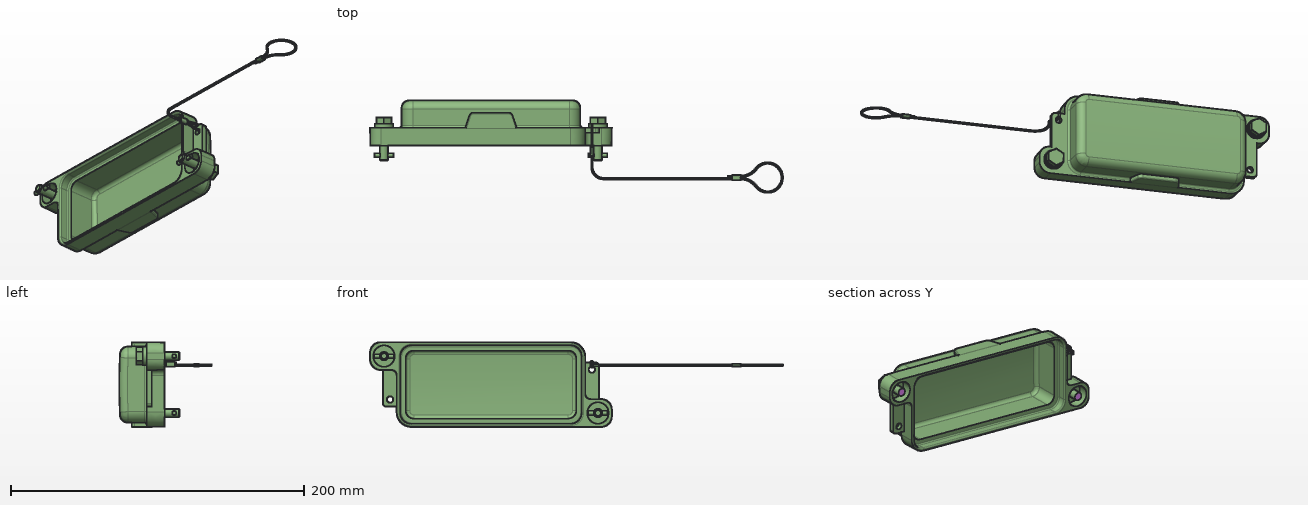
import cadquery as cq
import math


OVERLAP = 1.0

FLANGE_HALF_X = 64.4
FLANGE_HALF_Z = 57.99 / 2
FLANGE_DEPTH = 12.2
FLANGE_CORNER_R = 10.3
FLANGE_DRAFT = 1.0

LUG_END_X = 82.5
LUG_HEIGHT = 19.2
LUG_CORNER_R = 7.4
LUG_INNER_R = 3.5
LUG_CENTER_X = LUG_END_X - LUG_HEIGHT / 2
LUG_CENTER_Z = FLANGE_HALF_Z - LUG_HEIGHT / 2
LUG_RECESS_R = 7.3
LUG_RECESS_DEPTH = 8.0

HOOD_HALF_X = 61.0
HOOD_HALF_Z = 26.0
HOOD_CORNER_R = 7.7
HOOD_CROWN_Y = 31.0
CROWN_DROP = 0.9
HOOD_BACK_R = 5.5
HOOD_FOOT_R = 1.6

WALL = 2.8
POCKET_HALF_X = HOOD_HALF_X - WALL
POCKET_HALF_Z = HOOD_HALF_Z - WALL
POCKET_CORNER_R = 5.7
POCKET_FLOOR_R = 2.7
STEP_HALF_X = 61.8
STEP_HALF_Z = 26.7
STEP_DEPTH = 6.8
STEP_CORNER_R = 7.5
STEP_INNER_R = 0.8
RIM_R = 1.0

GRIP_BASE_HALF_X = 17.5
GRIP_TOP_HALF_X = 14.0
GRIP_TOP_Y = 22.5
GRIP_CORNER_R = 3.0
GRIP_EDGE_R = 0.7

EAR_END_X = 73.7
EAR_END_Z = 15.1
EAR_FRONT_Y = 8.7
EAR_CORNER_R = 2.5
EAR_HOLE_X = 68.8
EAR_HOLE_Z = 10.2
EAR_HOLE_D = 4.2

HEAD_ACROSS_FLATS = 10.5
HEAD_BACK_Y = 19.2
WASHER_R = 6.4
WASHER_BACK_Y = FLANGE_DEPTH + 2.8
SHANK_R = 2.9
SHANK_TIP_Y = -10.5
SHANK_CHAMFER = 0.9
CROSS_PIN_LENGTH = 13.0
CROSS_PIN_R = 1.4
CROSS_PIN_Y = -6.6

CABLE_R = 0.6
CABLE_Z = 13.2
CABLE_RUN_Y = -22.54
CABLE_BEND_R = 8.0
STRAND_GAP = 1.5
FERRULE_LENGTH = 5.9
FERRULE_WIDTH = 3.8
FERRULE_THICKNESS = 2.0
FERRULE_EDGE_R = FERRULE_THICKNESS / 3
STUB_LENGTH = 3.0
EAR_FERRULE_FRONT_Y = -7.0
EAR_STUB_Y = EAR_FERRULE_FRONT_Y - 1.0
TIE_FRONT_Y = EAR_FRONT_Y - 2.0
TIE_BACK_Y = FLANGE_DEPTH + 1.3
TIE_OUTER_Z = EAR_END_Z + 0.5
TIE_INNER_Z = EAR_HOLE_Z + EAR_HOLE_D / 2 - 0.3
TIE_CORNER_R = 1.0
LOOP_R = 9.9
LOOP_END_X = 199.11
LOOP_CENTER_X = LOOP_END_X - LOOP_R - CABLE_R
LOOP_NECK_LENGTH = 18.4
LOOP_NECK_X = LOOP_CENTER_X - LOOP_NECK_LENGTH


def plane_at(y):
    """Work plane parallel to XZ; positive extrusion runs toward -Y."""
    return cq.Workplane("XZ", origin=(0, y, 0))


def flange():
    low = FLANGE_HALF_Z - LUG_HEIGHT
    outline = plane_at(FLANGE_DEPTH).moveTo(-FLANGE_HALF_X, FLANGE_CORNER_R - FLANGE_HALF_Z)
    for s in (1, -1):
        outline = (
            outline.lineTo(-s * FLANGE_HALF_X, s * (low - LUG_INNER_R))
            .radiusArc((-s * (FLANGE_HALF_X + LUG_INNER_R), s * low), -LUG_INNER_R)
            .lineTo(-s * (LUG_END_X - LUG_CORNER_R), s * low)
            .radiusArc((-s * LUG_END_X, s * (low + LUG_CORNER_R)), LUG_CORNER_R)
            .lineTo(-s * LUG_END_X, s * (FLANGE_HALF_Z - LUG_CORNER_R))
            .radiusArc((-s * (LUG_END_X - LUG_CORNER_R), s * FLANGE_HALF_Z), LUG_CORNER_R)
            .lineTo(s * (FLANGE_HALF_X - FLANGE_CORNER_R), s * FLANGE_HALF_Z)
            .radiusArc((s * FLANGE_HALF_X, s * (FLANGE_HALF_Z - FLANGE_CORNER_R)), FLANGE_CORNER_R)
        )
    return outline.close().extrude(FLANGE_DEPTH, taper=FLANGE_DRAFT)


def crowned_block(half_x, half_z, front_y, crown_y, corner_r, back_r):
    """Block with a crowned back, rounded corners and a rounded back edge."""
    side_y = crown_y - CROWN_DROP
    block = (
        cq.Workplane("YZ", origin=(-half_x, 0, 0))
        .moveTo(front_y, -half_z)
        .lineTo(side_y, -half_z)
        .threePointArc((crown_y, 0), (side_y, half_z))
        .lineTo(front_y, half_z)
        .close()
        .extrude(2 * half_x)
    )
    block = block.edges("|Y").fillet(corner_r)
    return block.faces(">Y").edges().fillet(back_r)


def grip_pads():
    start_y = FLANGE_DEPTH - OVERLAP
    pads = (
        cq.Workplane("XY", origin=(0, 0, -FLANGE_HALF_Z))
        .polyline(
            [
                (-GRIP_BASE_HALF_X, start_y),
                (-GRIP_BASE_HALF_X, FLANGE_DEPTH),
                (-GRIP_TOP_HALF_X, GRIP_TOP_Y),
                (GRIP_TOP_HALF_X, GRIP_TOP_Y),
                (GRIP_BASE_HALF_X, FLANGE_DEPTH),
                (GRIP_BASE_HALF_X, start_y),
            ]
        )
        .close()
        .extrude(2 * FLANGE_HALF_Z)
    )
    pads = pads.edges("|Z and >Y").fillet(GRIP_CORNER_R)
    return pads.faces("<Z or >Z").edges().fillet(GRIP_EDGE_R)


def ear(s):
    inner_x = FLANGE_HALF_X - OVERLAP
    plate = (
        plane_at(FLANGE_DEPTH)
        .center(s * (EAR_END_X + inner_x) / 2, 0)
        .rect(EAR_END_X - inner_x, 2 * EAR_END_Z)
        .extrude(FLANGE_DEPTH - EAR_FRONT_Y)
    )
    outer_side = ">X" if s > 0 else "<X"
    plate = plate.faces(outer_side).edges("|Y").fillet(EAR_CORNER_R)
    hole = (
        plane_at(FLANGE_DEPTH)
        .center(s * EAR_HOLE_X, s * EAR_HOLE_Z)
        .circle(EAR_HOLE_D / 2)
        .extrude(FLANGE_DEPTH)
    )
    return plate.cut(hole)


def lug_recess(s):
    return (
        plane_at(LUG_RECESS_DEPTH)
        .center(-s * LUG_CENTER_X, s * LUG_CENTER_Z)
        .circle(LUG_RECESS_R)
        .extrude(LUG_RECESS_DEPTH)
    )


def screw(s):
    x = -s * LUG_CENTER_X
    z = s * LUG_CENTER_Z
    corner_diameter = HEAD_ACROSS_FLATS / math.cos(math.pi / 6)
    head = (
        plane_at(HEAD_BACK_Y)
        .center(x, z)
        .transformed(rotate=(0, 0, 90))
        .polygon(6, corner_diameter)
        .extrude(HEAD_BACK_Y - WASHER_BACK_Y)
    )
    washer = plane_at(WASHER_BACK_Y).center(x, z).circle(WASHER_R).extrude(WASHER_BACK_Y - FLANGE_DEPTH)
    shank = plane_at(WASHER_BACK_Y).center(x, z).circle(SHANK_R).extrude(WASHER_BACK_Y - SHANK_TIP_Y)
    shank = shank.faces("<Y").chamfer(SHANK_CHAMFER)
    cross_pin = (
        cq.Workplane("YZ", origin=(x - CROSS_PIN_LENGTH / 2, 0, 0))
        .center(CROSS_PIN_Y, z)
        .circle(CROSS_PIN_R)
        .extrude(CROSS_PIN_LENGTH)
    )
    return head.union(washer).union(shank).union(cross_pin)


def ear_tie():
    """Strand that passes through the ear hole and around the edge of the ear."""
    stub_z = CABLE_Z + STRAND_GAP
    path = (
        cq.Workplane("YZ", origin=(EAR_HOLE_X, 0, 0))
        .moveTo(EAR_STUB_Y, stub_z)
        .lineTo(0, stub_z)
        .spline([(TIE_FRONT_Y, TIE_OUTER_Z)], tangents=[(1, 0), (1, 0)], includeCurrent=True)
        .lineTo(TIE_BACK_Y - TIE_CORNER_R, TIE_OUTER_Z)
        .radiusArc((TIE_BACK_Y, TIE_OUTER_Z - TIE_CORNER_R), TIE_CORNER_R)
        .lineTo(TIE_BACK_Y, TIE_INNER_Z + TIE_CORNER_R)
        .radiusArc((TIE_BACK_Y - TIE_CORNER_R, TIE_INNER_Z), TIE_CORNER_R)
        .lineTo(TIE_FRONT_Y, TIE_INNER_Z)
        .spline([(0, CABLE_Z)], tangents=[(-1, 0), (-1, 0)], includeCurrent=True)
        .lineTo(EAR_FERRULE_FRONT_Y, CABLE_Z)
    )
    start = plane_at(EAR_STUB_Y).center(EAR_HOLE_X, stub_z)
    return start.circle(CABLE_R).sweep(path)


def long_cable():
    """Run from the ear ferrule, round the bend, to the end loop and back into its ferrule."""
    axis_y = CABLE_RUN_Y + STRAND_GAP / 2
    offset = STRAND_GAP / 2
    distance = LOOP_CENTER_X - LOOP_NECK_X
    neck_r = (distance**2 + offset**2 - LOOP_R**2) / (2 * (LOOP_R - offset))
    angle = math.atan2(neck_r + offset, distance)
    touch_x = LOOP_CENTER_X - LOOP_R * math.cos(angle)
    touch_dy = LOOP_R * math.sin(angle)
    stub_x = LOOP_NECK_X - FERRULE_LENGTH - STUB_LENGTH
    path = (
        cq.Workplane("XY", origin=(0, 0, CABLE_Z))
        .moveTo(EAR_HOLE_X, EAR_FERRULE_FRONT_Y)
        .lineTo(EAR_HOLE_X, CABLE_RUN_Y + CABLE_BEND_R)
        .radiusArc((EAR_HOLE_X + CABLE_BEND_R, CABLE_RUN_Y), -CABLE_BEND_R)
        .lineTo(LOOP_NECK_X, axis_y - offset)
        .radiusArc((touch_x, axis_y - touch_dy), neck_r)
        .threePointArc((LOOP_CENTER_X + LOOP_R, axis_y), (touch_x, axis_y + touch_dy))
        .radiusArc((LOOP_NECK_X, axis_y + offset), neck_r)
        .lineTo(stub_x, axis_y + offset)
    )
    start = plane_at(EAR_FERRULE_FRONT_Y).center(EAR_HOLE_X, CABLE_Z)
    return start.circle(CABLE_R).sweep(path)


def ferrules():
    ear_ferrule = cq.Workplane("XY").box(FERRULE_THICKNESS, FERRULE_LENGTH, FERRULE_WIDTH)
    ear_ferrule = ear_ferrule.edges("|Y").fillet(FERRULE_EDGE_R)
    ear_y = EAR_FERRULE_FRONT_Y + FERRULE_LENGTH / 2
    ear_ferrule = ear_ferrule.translate((EAR_HOLE_X, ear_y, CABLE_Z + STRAND_GAP / 2))
    end_ferrule = cq.Workplane("XY").box(FERRULE_LENGTH, FERRULE_WIDTH, FERRULE_THICKNESS)
    end_ferrule = end_ferrule.edges("|X").fillet(FERRULE_EDGE_R)
    end_x = LOOP_NECK_X - FERRULE_LENGTH / 2
    return ear_ferrule.union(end_ferrule.translate((end_x, CABLE_RUN_Y + STRAND_GAP / 2, CABLE_Z)))


def mouth_step():
    step = plane_at(STEP_DEPTH).rect(2 * STEP_HALF_X, 2 * STEP_HALF_Z).extrude(STEP_DEPTH)
    step = step.edges("|Y").fillet(STEP_CORNER_R)
    return step.faces(">Y").edges().fillet(STEP_INNER_R)


def edges_between(half_x, half_z, y):
    """Selector for the edges at height y inside a rectangle centred on the Y axis."""
    margin = 0.1
    low = (-half_x - margin, y - margin, -half_z - margin)
    high = (half_x + margin, y + margin, half_z + margin)
    return cq.selectors.BoxSelector(low, high, boundingbox=True)


def cover():
    hood = crowned_block(HOOD_HALF_X, HOOD_HALF_Z, STEP_DEPTH, HOOD_CROWN_Y, HOOD_CORNER_R, HOOD_BACK_R)
    pocket = crowned_block(
        POCKET_HALF_X, POCKET_HALF_Z, 0, HOOD_CROWN_Y - WALL, POCKET_CORNER_R, POCKET_FLOOR_R
    )
    outside = flange().union(hood)
    outside = outside.edges(edges_between(HOOD_HALF_X, HOOD_HALF_Z, FLANGE_DEPTH)).fillet(HOOD_FOOT_R)
    body = outside.union(grip_pads())
    body = body.cut(pocket).cut(mouth_step())
    body = body.edges(edges_between(STEP_HALF_X, STEP_HALF_Z, 0)).fillet(RIM_R)
    for s in (1, -1):
        body = body.union(ear(s)).cut(lug_recess(s))
    return body


result = cover()
for side in (1, -1):
    result = result.union(screw(side))
result = result.union(ear_tie()).union(long_cable()).union(ferrules())